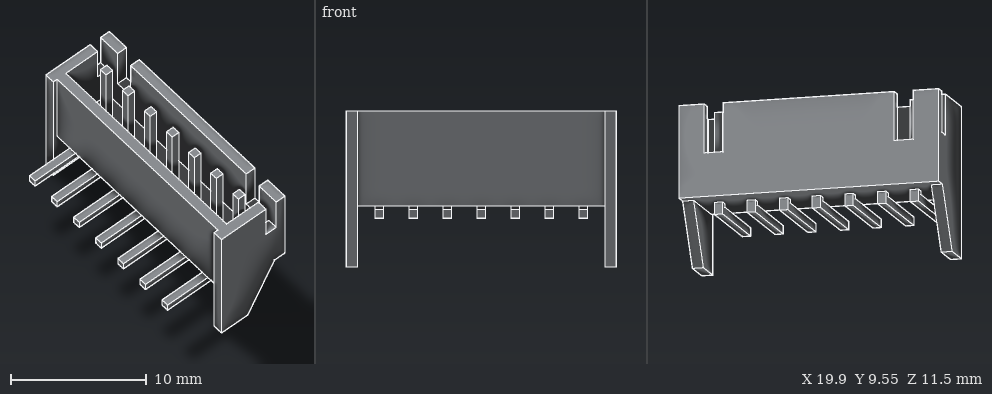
import cadquery as cq


pin_count = 7
pin_pitch = 2.5
pin_size = 0.64
pin_row_y = -2.37
post_below_mouth = 0.2
tail_drop = 0.27
tail_end_y = -9.55

wall = 0.85
end_margin = 2.45
row_length = (pin_count - 1) * pin_pitch
length = row_length + 2 * end_margin
inner_length = length - 2 * wall
shroud_height = 7.0
shroud_depth = 5.78
floor_thickness = wall

plate_depth = 6.15
leg_drop = 4.5
leg_step = 1.0
leg_foot_width = 2.55

end_slot_depth = 3.1
end_slot_width = 1.0
back_slot_depth = 3.7
back_slot_width = 1.45
back_slot_offset = 1.95


def box(x_range, y_range, z_range):
    """Box spanning the given (low, high) ranges."""
    size = [high - low for low, high in (x_range, y_range, z_range)]
    corner = (x_range[0], y_range[0], z_range[0])
    return cq.Workplane("XY").box(*size, centered=False).translate(corner)


def shroud():
    """Open-topped box between the end plates."""
    half_inner = inner_length / 2
    x_range = (-half_inner, half_inner)
    outside = box(x_range, (-shroud_depth, 0), (0, shroud_height))
    cavity = box(x_range, (wall - shroud_depth, -wall), (floor_thickness, shroud_height))
    return outside.cut(cavity)


def end_plate(x_start):
    """End plate with its tapered mounting leg, one wall thick from x_start."""
    profile = [
        (0, shroud_height),
        (0, 0),
        (-leg_step, 0),
        (leg_foot_width - plate_depth, -leg_drop),
        (-plate_depth, -leg_drop),
        (-plate_depth, shroud_height),
    ]
    plate = cq.Workplane("YZ").polyline(profile).close().extrude(wall)
    return plate.translate((x_start, 0, 0))


def end_slots():
    """Slot through both end plates, just in front of the back wall."""
    z_range = (shroud_height - end_slot_depth, shroud_height)
    return box((-length / 2, length / 2), (-wall - end_slot_width, -wall), z_range)


def back_slot(side):
    """Slot through the back wall near the end on the given side (-1 or +1)."""
    outer_x = side * (length / 2 - back_slot_offset)
    inner_x = outer_x - side * back_slot_width
    x_range = (min(outer_x, inner_x), max(outer_x, inner_x))
    return box(x_range, (-wall, 0), (shroud_height - back_slot_depth, shroud_height))


def pin(x_center):
    """Square pin: upright post through the floor with a tail bent toward -Y."""
    half = pin_size / 2
    x_range = (x_center - half, x_center + half)
    tail_bottom = -tail_drop - pin_size
    post_back_y = pin_row_y + half
    post_top = shroud_height - post_below_mouth
    post = box(x_range, (pin_row_y - half, post_back_y), (tail_bottom, post_top))
    tail = box(x_range, (tail_end_y, post_back_y), (tail_bottom, -tail_drop))
    return post.union(tail)


body = shroud()
for plate_x in (-length / 2, length / 2 - wall):
    body = body.union(end_plate(plate_x))

body = body.cut(end_slots())
for side in (-1, 1):
    body = body.cut(back_slot(side))

for index in range(pin_count):
    body = body.union(pin(index * pin_pitch - row_length / 2))

result = body